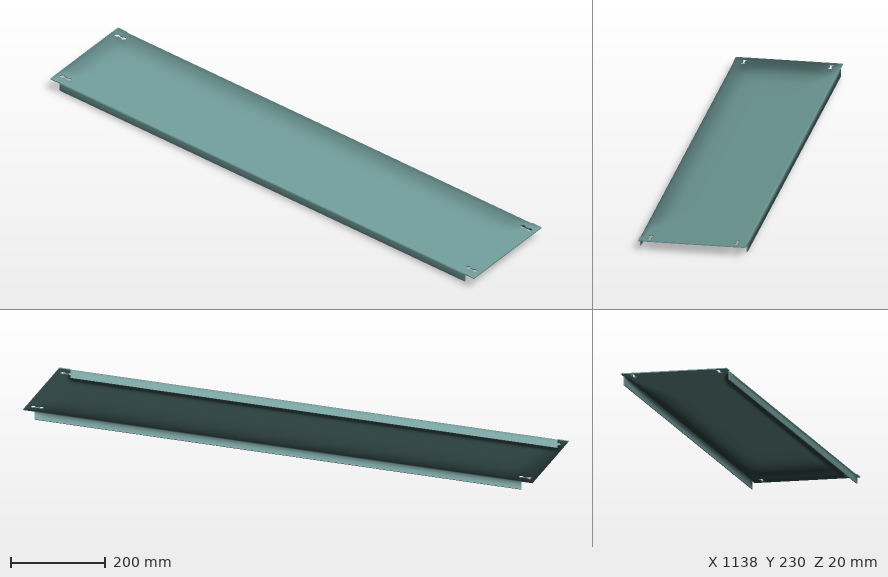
import cadquery as cq

length = 1138.0
width = 230.0
height = 20.0

thickness = 2.0
bend_inner_radius = 2.0
bend_outer_radius = bend_inner_radius + thickness

flange_setback = 25.0
flange_length = length - 2 * flange_setback

hole_diameter = 10.0
neck_width = 5.0
outer_hole_inset = 15.0
hole_pitch = 18.0
hole_row_spacing = 185.0


def folded_channel():
    """Return the bent channel with its top face at Z = 0."""
    blank = cq.Workplane("XY").box(flange_length, width, height, centered=(True, True, False))
    blank = blank.translate((0, 0, -height))
    outer = blank.edges("|X and >Z").fillet(bend_outer_radius)
    inner_width = width - 2 * thickness
    inner = cq.Workplane("XY").box(flange_length, inner_width, height, centered=(True, True, False))
    inner = inner.translate((0, 0, -height - thickness))
    inner = inner.edges("|X and >Z").fillet(bend_inner_radius)
    return outer.cut(inner)


def end_tabs():
    """Return the flat strips that project beyond the flanges at both ends."""
    tab_center = (length - flange_setback) / 2
    tabs = cq.Workplane("XY").pushPoints([(-tab_center, 0), (tab_center, 0)])
    return tabs.rect(flange_setback, width).extrude(-thickness)


def corner_openings():
    """Return the cutting tool for the joined holes at all four corners."""
    outer_x = length / 2 - outer_hole_inset
    inner_x = outer_x - hole_pitch
    row_y = hole_row_spacing / 2
    rows = [-row_y, row_y]
    hole_centers = [(x, y) for x in (-outer_x, -inner_x, inner_x, outer_x) for y in rows]
    neck_x = (outer_x + inner_x) / 2
    neck_centers = [(x, y) for x in (-neck_x, neck_x) for y in rows]
    holes = cq.Workplane("XY").pushPoints(hole_centers).circle(hole_diameter / 2).extrude(-thickness)
    necks = cq.Workplane("XY").pushPoints(neck_centers).rect(hole_pitch, neck_width).extrude(-thickness)
    return holes.union(necks)


panel = folded_channel().union(end_tabs()).cut(corner_openings())

result = panel.translate((0, 0, height / 2))